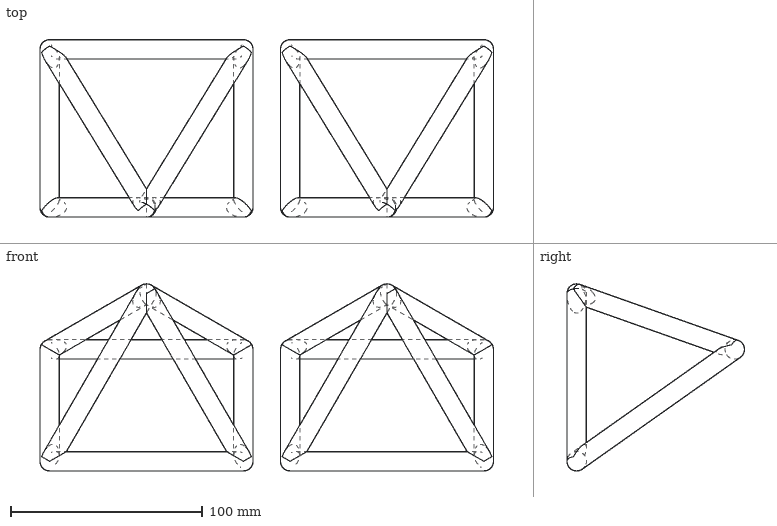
import cadquery as cq
import math

rod_diameter = 10.2
edge_length = 101.3
overall_length = 237.3
pyramid_count = 2

rod_radius = rod_diameter / 2
half_edge = edge_length / 2
pitch = (overall_length - rod_diameter - edge_length) / (pyramid_count - 1)

base_tilt = math.acos(1 / math.sqrt(3))
apex_height = edge_length * math.sqrt(3) / 2
back_depth = edge_length * math.sin(base_tilt)
back_height = edge_length * math.cos(base_tilt)

base_nodes = [
    cq.Vector(-half_edge, 0, 0),
    cq.Vector(half_edge, 0, 0),
    cq.Vector(half_edge, back_depth, back_height),
    cq.Vector(-half_edge, back_depth, back_height),
]
apex_node = cq.Vector(0, 0, apex_height)


def make_rod(start, end):
    """Round rod running from one node centre to another."""
    axis = end - start
    return cq.Workplane(cq.Solid.makeCylinder(rod_radius, axis.Length, start, axis))


def make_ball(center):
    """Ball of the rod diameter that rounds off a node."""
    return cq.Workplane("XY").sphere(rod_radius).translate(center)


def make_base_frame():
    """Square of four rods with a ball at each corner, fused into one body."""
    frame = make_ball(base_nodes[0])
    for corner in base_nodes[1:]:
        frame = frame.union(make_ball(corner))
    for index, corner in enumerate(base_nodes):
        frame = frame.union(make_rod(base_nodes[index - 1], corner))
    return frame


def make_legs():
    """Four legs coped around the base corners and around each other at the apex."""
    legs = []
    for index, corner in enumerate(base_nodes):
        previous_corner = base_nodes[index - 1]
        next_corner = base_nodes[(index + 1) % len(base_nodes)]
        leg = make_rod(corner, apex_node)
        if not legs:
            leg = leg.union(make_ball(apex_node))
        leg = leg.cut(make_rod(corner, previous_corner))
        leg = leg.cut(make_rod(corner, next_corner))
        leg = leg.cut(make_ball(corner))
        for earlier_leg in legs:
            leg = leg.cut(earlier_leg)
        legs.append(leg)
    return legs


base_frame = make_base_frame()
legs = make_legs()

bodies = []
for index in range(pyramid_count):
    offset = cq.Vector((index - (pyramid_count - 1) / 2) * pitch, 0, 0)
    for body in [base_frame, *legs]:
        bodies.extend(body.translate(offset).vals())

result = cq.Compound.makeCompound(bodies)